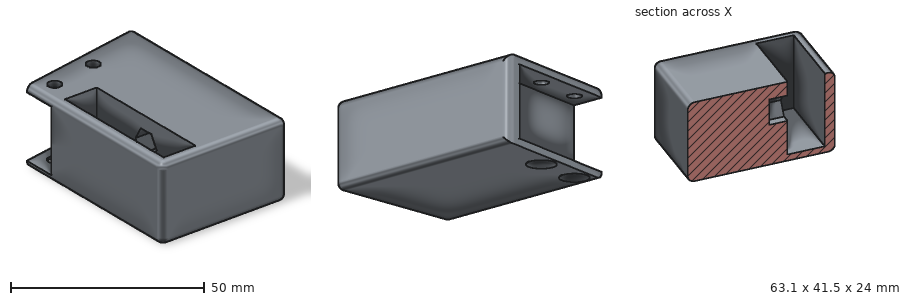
import cadquery as cq
import math

length = 63.1
width = 41.45
height = 24.0
edge_radius = 2.0
end_angle = 10.0

wall = 2.0
pocket_depth = 9.95
pocket_setback = 4.65

screw_diameter = 4.0
screw_spacing = 15.0
first_screw_y = 6.05
head_diameter = 8.0
screw_count = 2

slot_length = 41.05
slot_width = 10.5
slot_margin = 2.95
slot_floor = wall

hex_diameter = 8.7
hex_depth = 5.05
hex_drop = 8.1

slope = math.tan(math.radians(end_angle))
cosine = math.cos(math.radians(end_angle))
sine = math.sin(math.radians(end_angle))

corner_overhang = edge_radius * ((1 + sine) / cosine - 1)
corner_x = -corner_overhang


def end_face_x(y):
    """X of the slanted end face at a given Y."""
    return corner_x + (width - y) * slope


def end_frame(base_z):
    """Plane at the pocket mouth's back corner: x runs inward, y runs along the end face."""
    mouth_y = width - pocket_setback
    return cq.Plane(
        origin=(end_face_x(mouth_y), mouth_y, base_z),
        xDir=(cosine, sine, 0),
        normal=(0, 0, 1),
    )


def make_pocket():
    reach = 2 * width
    return (
        cq.Workplane(end_frame(wall))
        .rect(2 * pocket_depth, -reach, centered=False)
        .extrude(height - 2 * wall)
        .translate((-pocket_depth * cosine, -pocket_depth * sine, 0))
    )


def make_screw_holes():
    halfway_in = pocket_depth / 2
    first_along = (first_screw_y - (width - pocket_setback) - halfway_in * sine) / cosine
    centers = [(halfway_in, first_along + i * screw_spacing) for i in range(screw_count)]
    points = cq.Workplane(end_frame(0)).pushPoints(centers)
    shanks = points.circle(screw_diameter / 2).extrude(height)
    countersink = cq.Solid.makeCone(head_diameter / 2, screw_diameter / 2, wall)
    heads = points.eachpoint(lambda place: countersink.moved(place), useLocalCoordinates=True)
    return shanks.union(heads)


def make_slot():
    return (
        cq.Workplane("XY")
        .box(slot_length, slot_width, height, centered=False)
        .translate((length - slot_margin - slot_length, slot_margin, slot_floor))
    )


def make_hex_recess():
    slot_center_x = length - slot_margin - slot_length / 2
    back_wall_y = slot_margin + slot_width
    return (
        cq.Workplane("XZ", origin=(slot_center_x, back_wall_y, height - hex_drop))
        .polygon(6, hex_diameter)
        .extrude(-hex_depth)
    )


def make_rounded_body():
    outline = [(end_face_x(0), 0), (length, 0), (length, width), (corner_x, width)]
    body = cq.Workplane("XY").polyline(outline).close().extrude(height)
    long_edges = body.edges("|X")
    right_edges = body.faces(">X").edges()
    back_corner = body.edges("|Z and <X")
    return long_edges.add(right_edges).add(back_corner).fillet(edge_radius)


result = make_rounded_body()
for cutter in (make_pocket(), make_screw_holes(), make_slot(), make_hex_recess()):
    result = result.cut(cutter)